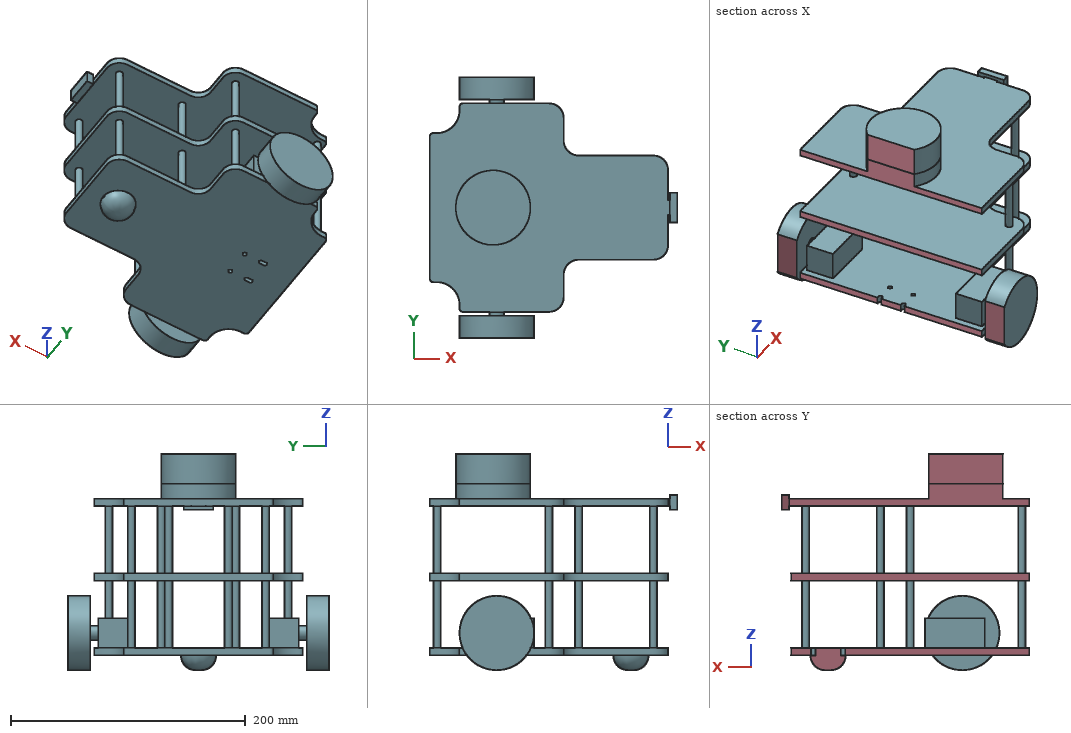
import cadquery as cq
import math


overall_width = 222.5

deck_length = 203.3
deck_thickness = 6.5
deck_pitch = 63.6
deck_count = 3
bay_length = 114.3
bay_width = 178.0
tongue_width = bay_width / 2
corner_radius = 12.7
notch_size = 25.4
notch_radius = 19.1
notch_tip_radius = 3.1

post_diameter = 6.5
post_places = [
    (6.5, 25.4),
    (6.5, 57.2),
    (101.7, 76.3),
    (127.0, 31.8),
    (190.6, 31.8),
]

wheel_diameter = 63.6
wheel_width = 19.1
wheel_x = 57.2
motor_length = 51.0
motor_size = 25.4
motor_rear_x = 38.0
axle_diameter = 12.7
axle_length = 6.5

lidar_x = 54.0
lidar_diameter = 63.6
lidar_base_height = 12.7
lidar_head_height = 25.4

camera_depth = 6.5
camera_width = 25.4
camera_height = 12.7
neck_length = 1.3
neck_width = 12.7

caster_x = 171.5
caster_radius = 15.1

screw_hole_diameter = 3.5
slot_length = 7.5
slot_x = 32.0
rear_hole_x = 50.5
screw_row_y = 11.3
caster_hole_spacing = 25.4

wheel_z = wheel_diameter / 2
bottom_deck_top = wheel_z - motor_size / 2
bottom_deck_z = bottom_deck_top - deck_thickness
deck_levels = [bottom_deck_z + i * deck_pitch for i in range(deck_count)]
top_deck_z = deck_levels[-1]
top_deck_top = top_deck_z + deck_thickness
wheel_inner_y = overall_width / 2 - wheel_width
motor_outer_y = wheel_inner_y - axle_length
camera_rear_x = deck_length + neck_length


def centred_box(length, width, height, rear_x, bottom_z):
    """A box centred on Y = 0 that starts at rear_x and bottom_z."""
    return (
        cq.Workplane("XY")
        .box(length, width, height, centered=(False, True, False))
        .translate((rear_x, 0, bottom_z))
    )


def upright_cylinder(diameter, height, x, y, bottom_z):
    return cq.Workplane("XY").circle(diameter / 2).extrude(height).translate((x, y, bottom_z))


def cross_cylinder(diameter, start_y, end_y):
    """A cylinder along Y on the wheel axis."""
    return (
        cq.Workplane("XZ", origin=(wheel_x, start_y, wheel_z))
        .circle(diameter / 2)
        .extrude(start_y - end_y)
    )


def make_deck(bottom_z):
    """One deck plate with rounded corners and notched rear corners."""
    bay_y = bay_width / 2
    tongue_y = tongue_width / 2
    notch_y = bay_y - notch_size
    half_outline = [
        (0, 0),
        (0, notch_y),
        (notch_size, notch_y),
        (notch_size, bay_y),
        (bay_length, bay_y),
        (bay_length, tongue_y),
        (deck_length, tongue_y),
        (deck_length, 0),
    ]
    rounding = [
        (notch_radius, [(notch_size, notch_y)]),
        (notch_tip_radius, [(0, notch_y), (notch_size, bay_y)]),
        (corner_radius, [(bay_length, bay_y), (bay_length, tongue_y), (deck_length, tongue_y)]),
    ]
    half_deck = cq.Workplane("XY").polyline(half_outline).close().extrude(deck_thickness)
    for radius, corners in rounding:
        for x, y in corners:
            corner_edge = cq.selectors.NearestToPointSelector((x, y, deck_thickness / 2))
            half_deck = half_deck.edges("|Z").edges(corner_edge).fillet(radius)
    deck = half_deck.union(half_deck.mirror("XZ"))
    return deck.translate((0, 0, bottom_z))


def add_posts(chassis):
    """Posts that run from the bottom deck to the top deck, through the middle one."""
    for x, offset_y in post_places:
        for y in (-offset_y, offset_y):
            post = upright_cylinder(post_diameter, top_deck_z - bottom_deck_top, x, y, bottom_deck_top)
            chassis = chassis.union(post)
    return chassis


def add_motors(chassis):
    """A motor block at each side of the bottom deck, with its axle."""
    for side in (-1, 1):
        motor = centred_box(motor_length, motor_size, motor_size, motor_rear_x, bottom_deck_top)
        motor = motor.translate((0, side * (motor_outer_y - motor_size / 2), 0))
        axle = cross_cylinder(axle_diameter, side * motor_outer_y, side * wheel_inner_y)
        chassis = chassis.union(motor).union(axle)
    return chassis


def add_caster(chassis):
    """Round foot under the bottom deck, with a quarter-circle side down to a small flat."""
    flat_radius = caster_radius - bottom_deck_z
    arc_offset = bottom_deck_z * math.sqrt(0.5)
    arc_middle = (flat_radius + arc_offset, bottom_deck_z - arc_offset)
    caster = (
        cq.Workplane("XZ")
        .lineTo(flat_radius, 0)
        .threePointArc(arc_middle, (caster_radius, bottom_deck_z))
        .lineTo(0, bottom_deck_z)
        .close()
        .revolve(360, (0, 0), (0, 1))
        .translate((caster_x, 0, 0))
    )
    return chassis.union(caster)


def cut_screw_openings(chassis):
    """Slots and holes in the rear of the bottom deck, and two holes above the caster."""
    slot_places = [(slot_x, y) for y in (-screw_row_y, screw_row_y)]
    hole_places = [(rear_hole_x, y) for y in (-screw_row_y, screw_row_y)]
    hole_places += [(caster_x + side * caster_hole_spacing / 2, 0) for side in (-1, 1)]
    deck_underside = cq.Workplane("XY", origin=(0, 0, bottom_deck_z))
    slots = (
        deck_underside
        .pushPoints(slot_places)
        .slot2D(slot_length, screw_hole_diameter)
        .extrude(deck_thickness)
    )
    holes = (
        deck_underside
        .pushPoints(hole_places)
        .circle(screw_hole_diameter / 2)
        .extrude(deck_thickness)
    )
    return chassis.cut(slots).cut(holes)


def make_chassis():
    """Decks, posts, motors, caster, lidar base and camera neck as one solid."""
    chassis = make_deck(bottom_deck_z)
    chassis = add_posts(chassis)
    for level in deck_levels[1:]:
        chassis = chassis.union(make_deck(level))
    chassis = add_motors(chassis)
    chassis = add_caster(chassis)
    chassis = cut_screw_openings(chassis)
    lidar_base = upright_cylinder(lidar_diameter, lidar_base_height, lidar_x, 0, top_deck_top)
    neck = centred_box(neck_length, neck_width, deck_thickness, deck_length, top_deck_z)
    return chassis.union(lidar_base).union(neck)


def make_wheel(side):
    return cross_cylinder(wheel_diameter, side * wheel_inner_y, side * overall_width / 2)


def make_lidar_head():
    base_top = top_deck_top + lidar_base_height
    return upright_cylinder(lidar_diameter, lidar_head_height, lidar_x, 0, base_top)


def make_camera():
    """Camera block, centred in height on the top deck."""
    bottom_z = top_deck_z + (deck_thickness - camera_height) / 2
    return centred_box(camera_depth, camera_width, camera_height, camera_rear_x, bottom_z)


chassis = make_chassis()
wheels = [make_wheel(side) for side in (-1, 1)]
lidar_head = make_lidar_head()
camera = make_camera()

result = cq.Compound.makeCompound([
    chassis.val(),
    *[wheel.val() for wheel in wheels],
    lidar_head.val(),
    camera.val(),
])